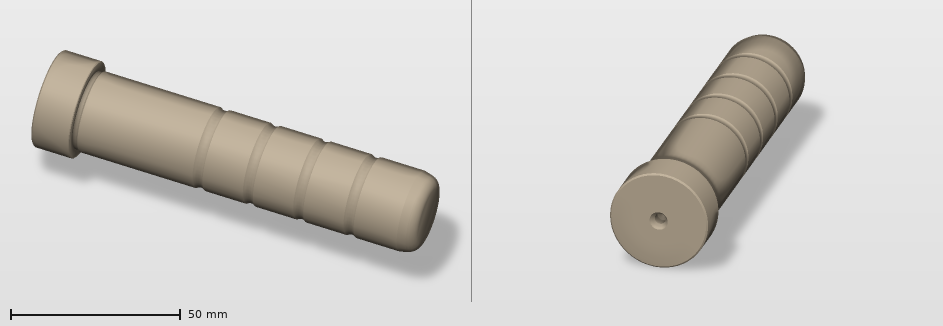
import cadquery as cq
import math

length = 120.0
head_radius = 15.0
head_length = 12.0
head_edge = 0.5
head_back_edge = 0.2
shank_radius = 12.5

neck_radius = 12.0
neck_end = 13.8
neck_ramp = 0.5

groove_count = 4
first_groove = 51.8
groove_pitch = 16.0
groove_width = 3.2
groove_depth = 0.6

taper_start = 115.0
taper_angle = math.radians(15)
tip_round = 3.4

countersink_radius = 2.8
hole_radius = 1.7
countersink_angle = math.radians(30)
hole_depth = 4.8
drill_angle = math.radians(59)

AXIS_START = (0, 0, 0)
AXIS_END = (1, 0, 0)


def pin_body():
    """Revolve the headed pin with its neck and rounded lead-in."""
    round_x = length - tip_round
    round_start_x = round_x + tip_round * math.sin(taper_angle)
    round_start_r = shank_radius - (round_start_x - taper_start) * math.tan(taper_angle)
    flat_r = round_start_r - tip_round * math.cos(taper_angle)
    mid_angle = (math.pi / 2 - taper_angle) / 2
    round_mid = (round_x + tip_round * math.cos(mid_angle), flat_r + tip_round * math.sin(mid_angle))
    return (
        cq.Workplane("XY")
        .lineTo(0, head_radius - head_edge)
        .lineTo(head_edge, head_radius)
        .lineTo(head_length - head_back_edge, head_radius)
        .lineTo(head_length, head_radius - head_back_edge)
        .lineTo(head_length, neck_radius)
        .lineTo(neck_end - neck_ramp, neck_radius)
        .lineTo(neck_end, shank_radius)
        .lineTo(taper_start, shank_radius)
        .lineTo(round_start_x, round_start_r)
        .threePointArc(round_mid, (length, flat_r))
        .lineTo(length, 0)
        .close()
        .revolve(360, AXIS_START, AXIS_END)
    )


def groove_ring(x):
    """Torus that cuts one shallow round groove centred at x."""
    radius = ((groove_width / 2) ** 2 + groove_depth**2) / (2 * groove_depth)
    centre_radius = shank_radius - groove_depth + radius
    return (
        cq.Workplane("XY")
        .center(x, centre_radius)
        .circle(radius)
        .revolve(360, (0, -centre_radius, 0), (1, -centre_radius, 0))
    )


def centre_hole():
    """Countersunk blind hole with a conical bottom."""
    countersink_depth = (countersink_radius - hole_radius) / math.tan(countersink_angle)
    tip_depth = hole_depth + hole_radius / math.tan(drill_angle)
    return (
        cq.Workplane("XY")
        .lineTo(0, countersink_radius)
        .lineTo(countersink_depth, hole_radius)
        .lineTo(hole_depth, hole_radius)
        .lineTo(tip_depth, 0)
        .close()
        .revolve(360, AXIS_START, AXIS_END)
    )


result = pin_body()
for index in range(groove_count):
    result = result.cut(groove_ring(first_groove + index * groove_pitch))
result = result.cut(centre_hole())